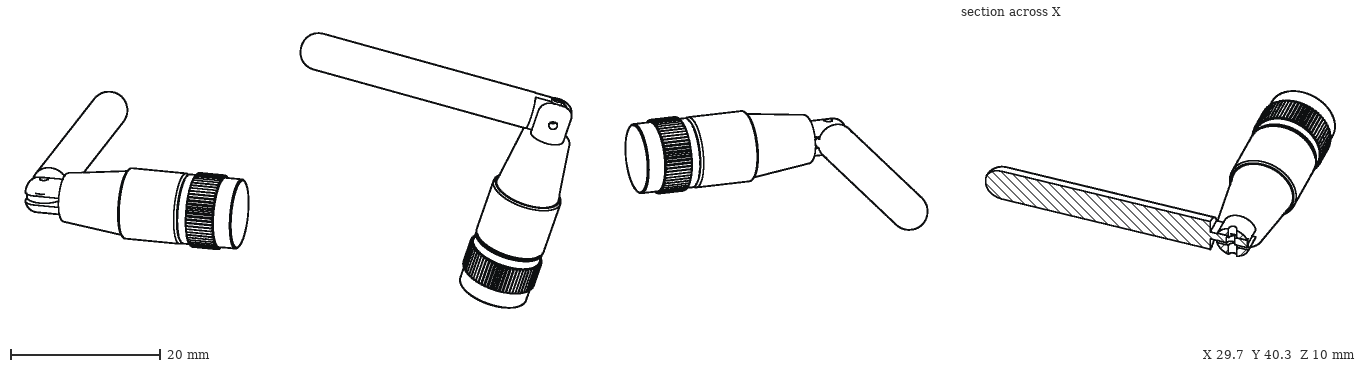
import cadquery as cq
import math


SLOT_WIDTH = 1.3
TONGUE_THICKNESS = SLOT_WIDTH
PIN_HOLE_RADIUS = 0.55
WHIP_OFFSET = 0.3

FORK_RADIUS = 2.38
FORK_TIP_X = -FORK_RADIUS
FORK_TIP_FILLET = 1.6
CONE_START_X = 2.82
CONE_START_RADIUS = 3.3
CONE_START_FILLET = 0.4
CONE_END_X = 11.5
CONE_END_RADIUS = 4.35
BARREL_END_X = 19.62
BARREL_RADIUS = 4.75
BARREL_START_CHAMFER = 0.25
BARREL_END_CHAMFER = 0.32
GROOVE_WIDTH = 0.15
GROOVE_RADIUS = BARREL_RADIUS - BARREL_END_CHAMFER
COLLAR_START_X = BARREL_END_X + GROOVE_WIDTH
COLLAR_RADIUS = 4.67
HOUSING_END_X = 27.2
HOUSING_END_CHAMFER = 0.15

KNURL_START_X = 20.95
KNURL_END_X = 24.78
KNURL_LENGTH = KNURL_END_X - KNURL_START_X
KNURL_RADIUS = 5.0
KNURL_CHAMFER = 0.2
KNURL_TOOTH_COUNT = 64

WHIP_RADIUS = 2.5
WHIP_LENGTH = 40.3 - KNURL_RADIUS
WHIP_TIP_FILLET = 2.35
SHOULDER_Y = 3.2
TONGUE_END_RADIUS = 2.38
TONGUE_BOTTOM_Z = WHIP_OFFSET - TONGUE_THICKNESS / 2

RELIEF_RADIUS = 1.15
RELIEF_X = 3.25
RELIEF_Y = 0.12


def make_fork():
    """Round-nosed stud, slotted for the tongue and drilled for the hinge pin."""
    stud = (
        cq.Workplane("YZ", origin=(FORK_TIP_X, 0, 0))
        .circle(FORK_RADIUS)
        .extrude(CONE_START_X - FORK_TIP_X)
        .faces("<X")
        .edges()
        .fillet(FORK_TIP_FILLET)
    )
    slot = cq.Workplane("XY").box(2 * CONE_START_X, 2 * CONE_START_X, SLOT_WIDTH)
    pin_hole = cq.Workplane("XY").circle(PIN_HOLE_RADIUS).extrude(FORK_RADIUS, both=True)
    return stud.cut(slot).cut(pin_hole)


def make_turned_body():
    """Cone, barrel, groove and collar, revolved about the X axis."""
    return (
        cq.Workplane("XY")
        .moveTo(CONE_START_X, 0)
        .lineTo(CONE_START_X, CONE_START_RADIUS - CONE_START_FILLET)
        .radiusArc((CONE_START_X + CONE_START_FILLET, CONE_START_RADIUS), CONE_START_FILLET)
        .lineTo(CONE_END_X, CONE_END_RADIUS)
        .lineTo(CONE_END_X, BARREL_RADIUS - BARREL_START_CHAMFER)
        .lineTo(CONE_END_X + BARREL_START_CHAMFER, BARREL_RADIUS)
        .lineTo(BARREL_END_X - BARREL_END_CHAMFER, BARREL_RADIUS)
        .lineTo(BARREL_END_X, GROOVE_RADIUS)
        .lineTo(COLLAR_START_X, GROOVE_RADIUS)
        .lineTo(COLLAR_START_X, COLLAR_RADIUS)
        .lineTo(HOUSING_END_X - HOUSING_END_CHAMFER, COLLAR_RADIUS)
        .lineTo(HOUSING_END_X, COLLAR_RADIUS - HOUSING_END_CHAMFER)
        .lineTo(HOUSING_END_X, 0)
        .close()
        .revolve(360, (0, 0, 0), (1, 0, 0))
    )


def make_knurled_ring():
    """Ring of V teeth that stand on the collar, with chamfered ends."""
    outline = []
    for i in range(2 * KNURL_TOOTH_COUNT):
        angle = math.pi * i / KNURL_TOOTH_COUNT
        radius = COLLAR_RADIUS if i % 2 else KNURL_RADIUS
        outline.append((radius * math.cos(angle), radius * math.sin(angle)))
    start = cq.Workplane("YZ", origin=(KNURL_START_X, 0, 0))
    teeth = start.polyline(outline).close().extrude(KNURL_LENGTH)
    envelope = start.circle(KNURL_RADIUS).extrude(KNURL_LENGTH).edges().chamfer(KNURL_CHAMFER)
    return teeth.intersect(envelope)


def make_rod():
    """Round rod from the tongue's shoulder to the domed tip."""
    return (
        cq.Workplane("XZ", origin=(0, SHOULDER_Y, WHIP_OFFSET))
        .circle(WHIP_RADIUS)
        .extrude(SHOULDER_Y - WHIP_LENGTH)
        .faces(">Y")
        .edges()
        .fillet(WHIP_TIP_FILLET)
    )


def make_tongue():
    """Flat tongue cut from the rod, with a rounded end, two edge reliefs and a pin hole."""
    bottom = cq.Workplane("XY", origin=(0, WHIP_OFFSET, TONGUE_BOTTOM_Z))
    flat = bottom.rect(2 * WHIP_RADIUS, 2 * SHOULDER_Y).extrude(TONGUE_THICKNESS)
    root = (
        cq.Workplane("XZ", origin=(0, WHIP_OFFSET, WHIP_OFFSET))
        .circle(WHIP_RADIUS)
        .extrude(WHIP_OFFSET - SHOULDER_Y)
        .intersect(flat)
    )
    end = bottom.circle(TONGUE_END_RADIUS).extrude(TONGUE_THICKNESS)
    reliefs = (
        cq.Workplane("XY", origin=(0, RELIEF_Y, TONGUE_BOTTOM_Z))
        .pushPoints([(-RELIEF_X, 0), (RELIEF_X, 0)])
        .circle(RELIEF_RADIUS)
        .extrude(TONGUE_THICKNESS)
    )
    pin_hole = bottom.circle(PIN_HOLE_RADIUS).extrude(TONGUE_THICKNESS)
    return root.union(end).cut(reliefs).cut(pin_hole)


def make_whip():
    return make_rod().union(make_tongue())


def make_housing(whip):
    """Housing whose upper fork arm is recessed where the raised tongue goes into it."""
    return make_turned_body().union(make_knurled_ring()).union(make_fork()).cut(whip)


whip = make_whip()
housing = make_housing(whip)

result = cq.Compound.makeCompound([housing.val(), whip.val()])